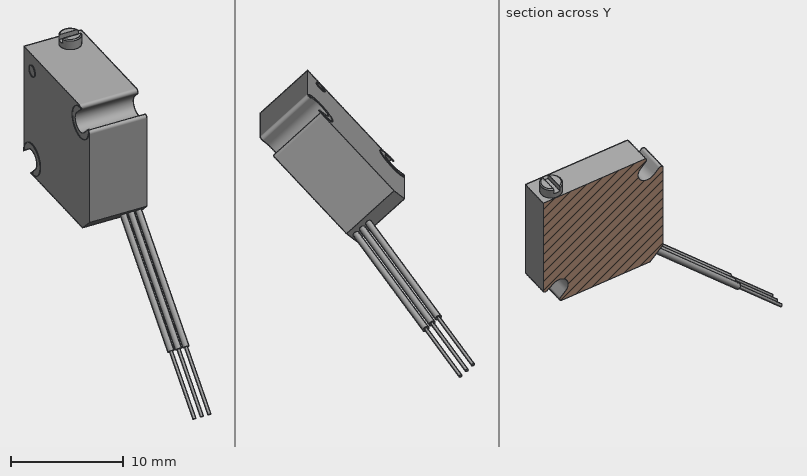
import cadquery as cq
import math

side = 12.7
depth = 5.75
corner_cut = 1.37

pad_height = 0.08
pad_inset = 1.67
pad_radius = 1.58
pin_radius = 0.56

slot_radius = 0.97
slot_direction = 45
lower_slot_flare = 7
lip_fillet = 0.27

screw_height = 1.02
screw_radius = 1.02
screw_x = 1.5
screw_from_back = 1.88
screw_chamfer = 0.1
driver_slot_width = 0.65
driver_slot_depth = 0.5

wire_count = 3
wire_pitch = 0.75
wire_from_back = 0.5
wire_embed = 0.27
sleeve_radius = 0.3
sleeve_reach = 8.5
core_radius = 0.148
core_reach = 13.03

lower_slot = (pad_inset, pad_inset)
upper_slot = (side - pad_inset, side - pad_inset)
pin_centre = (pad_inset, side - pad_inset)


def front_disc(centre, radius, y_front, y_back):
    """Cylinder along Y between two depths; centre is given as (x, z)."""
    x, z = centre
    return cq.Workplane("XZ", origin=(x, y_back, z)).circle(radius).extrude(y_back - y_front)


def slot_channel(centre, opening_angle):
    """Round-ended channel through the full depth, opening at an angle from +X toward +Z."""
    x, z = centre
    length = 2 * pad_inset
    bore = front_disc(centre, slot_radius, -pad_height, depth)
    channel = (
        cq.Workplane("XY")
        .box(length, depth + pad_height, 2 * slot_radius, centered=(False, False, True))
        .rotate((0, 0, 0), (0, 1, 0), -opening_angle)
        .translate((x, -pad_height, z))
    )
    return bore.union(channel)


def corner_slots():
    """Both slots; a second, turned channel flares the upper wall of the lower slot."""
    lower_angle = 180 + slot_direction
    lower = slot_channel(lower_slot, lower_angle)
    flare = slot_channel(lower_slot, lower_angle - lower_slot_flare)
    return lower.union(flare).union(slot_channel(upper_slot, slot_direction))


def lip_tip_offset(wall_angle):
    """Distance from the block corner to the point where a slot wall meets the outer face."""
    angle = math.radians(wall_angle)
    return pad_inset + slot_radius / math.cos(angle) - pad_inset * math.tan(angle)


def housing(slots):
    block = cq.Workplane("XY").box(side, depth, side, centered=False)
    block = block.edges("|Y and >X and <Z").chamfer(corner_cut).cut(slots)
    straight = lip_tip_offset(slot_direction)
    flared = lip_tip_offset(slot_direction - lower_slot_flare)
    lip_tips = [(0, flared), (straight, 0), (side, side - straight), (side - straight, side)]
    for x, z in lip_tips:
        tip_edge = cq.selectors.NearestToPointSelector((x, depth / 2, z))
        block = block.edges(tip_edge).fillet(lip_fillet)
    return block


def pads(slots):
    """Two round pads cut by the slots, and the locating pin."""
    lower = front_disc(lower_slot, pad_radius, -pad_height, 0)
    upper = front_disc(upper_slot, pad_radius, -pad_height, 0)
    pin = front_disc(pin_centre, pin_radius, -pad_height, 0)
    return lower.union(upper).cut(slots).union(pin)


def screw():
    centre_y = depth - screw_from_back
    head = (
        cq.Workplane("XY", origin=(screw_x, centre_y, side))
        .circle(screw_radius)
        .extrude(screw_height)
        .faces(">Z")
        .chamfer(screw_chamfer)
    )
    driver_slot = cq.Workplane("XY", origin=(screw_x, centre_y, side + screw_height)).box(
        driver_slot_width, 2 * screw_radius, 2 * driver_slot_depth
    )
    return head.cut(driver_slot)


def wire(y):
    """Sleeved wire whose axis leaves the middle of the cut corner at right angles to it."""
    start = side - corner_cut / 2 - wire_embed

    def rod(radius, reach):
        plane = cq.Plane(origin=(start, y, side - start), xDir=(0, 1, 0), normal=(1, 0, -1))
        return cq.Workplane(plane).circle(radius).extrude((side + reach - start) * math.sqrt(2))

    return rod(sleeve_radius, sleeve_reach).union(rod(core_radius, core_reach))


mounting_slots = corner_slots()
result = housing(mounting_slots).union(pads(mounting_slots)).union(screw())
for i in range(wire_count):
    result = result.union(wire(depth - wire_from_back - i * wire_pitch))